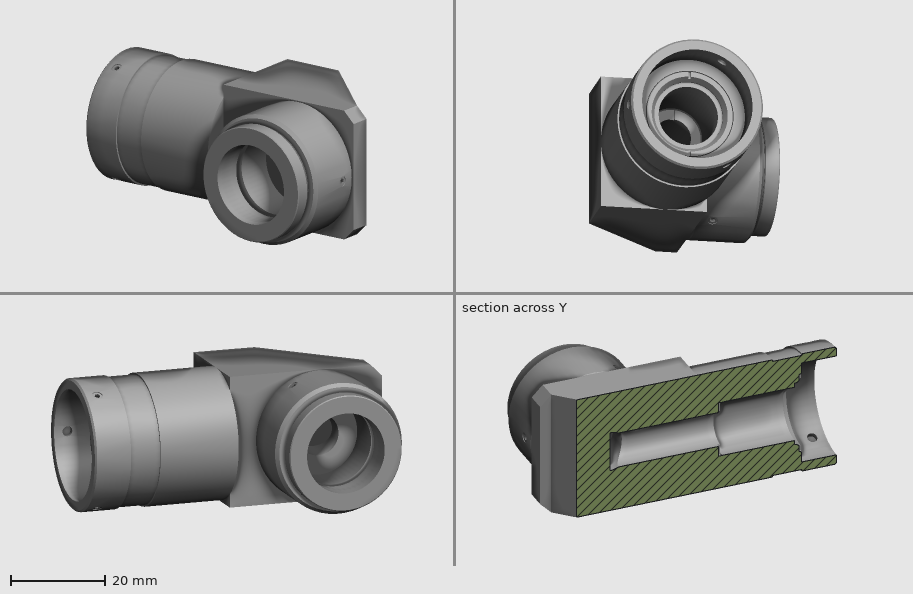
import cadquery as cq

LENGTH = 66.5
DEPTH = 40.35
WIDTH = 28.6
OUTER_R = WIDTH / 2
PORT_X = LENGTH - OUTER_R

BLOCK_X0 = 32.25
BLOCK_Y0 = -8.65
LIP_LENGTH = 2.5
LIP_Y = -4.0
LIP_X = LENGTH - LIP_LENGTH
BACK_TAPER = 0.2
SLANT_TOP_Y = OUTER_R - BACK_TAPER
SLANT_TOP_X = LIP_X - (SLANT_TOP_Y - LIP_Y)
CORNER_CHAMFER = LIP_LENGTH
MIRROR_HOLE_BARREL_D = 8.1
MIRROR_HOLE_PORT_D = 9.05

COLLAR_LENGTH = 8.05
WAIST_END = 14.7
WAIST_DEPTH = 0.365
WAIST_R = OUTER_R - WAIST_DEPTH
MOUTH_CHAMFER = 0.4

MOUTH_R = 11.95
FRONT_GROOVE_R = 9.5
FRONT_RING_R = 9.3
SEAT_CONE_R = 8.25
SEAT_R = 14.8 / 2
SEAT_CONE_DEPTH = 1.2
SEAT_LAND = 0.3
BARREL_BORE_R = 12.8 / 2
BORE_END_CHAMFER = 0.25
REAR_RING_X = 26.6
REAR_RING_LENGTH = 2.65
RING_GROOVE_DEPTH = 0.4
FRONT_SLOT_WIDTH = 0.45
REAR_SLOT_WIDTH = 0.9
SLOT_DEPTH = 0.5

PORT_BACK_CHAMFER = 0.65
PORT_SHOULDER_Y = -22.1
PORT_FRONT_CHAMFER = 0.7
NECK_R = 12.2
FLANGE_R = 12.6
FLANGE_Y = -23.0
FLANGE_CHAMFER = 0.2
FLANGE_END_Y = OUTER_R - DEPTH

PORT_BORE_R = 17.5 / 2
RELIEF_R = 11.3
RELIEF_START = 6.7
RELIEF_LENGTH = 1.9

SCREW_D = 2.2
SCREW_RECESS = 0.2
SOCKET_CORNERS_D = 1.25
SOCKET_DEPTH = 0.8
SCREW_INNER_GAP = 1.1
BARREL_SCREW_X = 3.0
PORT_SCREW_Y = -12.55
SCREW_COUNT = 3


def turned_on_x(points):
    """Revolve a closed outline of (x, radius) points about the barrel axis."""
    return cq.Workplane("XY").polyline(points).close().revolve(360, (0, 0), (1, 0))


def turned_on_y(points):
    """Revolve a closed outline of (radius, y) points about the port axis."""
    outline = cq.Workplane("XY").polyline(points).close().revolve(360, (0, 0), (0, 1))
    return outline.translate((PORT_X, 0, 0))


def elbow_block():
    outline = [
        (BLOCK_X0, BLOCK_Y0),
        (LENGTH, BLOCK_Y0),
        (LENGTH, LIP_Y),
        (LIP_X, LIP_Y),
        (SLANT_TOP_X, SLANT_TOP_Y),
        (BLOCK_X0, OUTER_R),
    ]
    block = cq.Workplane("XY").polyline(outline).close().extrude(OUTER_R, both=True)
    return block.edges("|Y").edges(">X").chamfer(CORNER_CHAMFER)


def barrel():
    return turned_on_x([
        (0, 0),
        (0, OUTER_R - MOUTH_CHAMFER),
        (MOUTH_CHAMFER, OUTER_R),
        (COLLAR_LENGTH, OUTER_R),
        (COLLAR_LENGTH, WAIST_R),
        (WAIST_END, WAIST_R),
        (WAIST_END, OUTER_R),
        (BLOCK_X0, OUTER_R),
        (BLOCK_X0, 0),
    ])


def port():
    return turned_on_y([
        (0, BLOCK_Y0),
        (OUTER_R - PORT_BACK_CHAMFER, BLOCK_Y0),
        (OUTER_R, BLOCK_Y0 - PORT_BACK_CHAMFER),
        (OUTER_R, PORT_SHOULDER_Y + PORT_FRONT_CHAMFER),
        (OUTER_R - PORT_FRONT_CHAMFER, PORT_SHOULDER_Y),
        (NECK_R, PORT_SHOULDER_Y),
        (NECK_R, FLANGE_Y + FLANGE_CHAMFER),
        (FLANGE_R - FLANGE_CHAMFER, FLANGE_Y + FLANGE_CHAMFER),
        (FLANGE_R, FLANGE_Y),
        (FLANGE_R, FLANGE_END_Y + FLANGE_CHAMFER),
        (FLANGE_R - FLANGE_CHAMFER, FLANGE_END_Y),
        (0, FLANGE_END_Y),
    ])


def ring_slot(x, width, radius):
    """Spanner slot across the face of a retaining ring, along Z."""
    slot = cq.Workplane("XY").box(SLOT_DEPTH, width, 2 * radius, centered=(False, True, True))
    return slot.translate((x, 0, 0))


def barrel_cavity():
    """Stepped bore with a V groove around the front ring and spanner slots in both ring faces."""
    cone_end_x = COLLAR_LENGTH + SEAT_CONE_DEPTH
    seat_x = cone_end_x + SEAT_LAND
    rear_end = REAR_RING_X + REAR_RING_LENGTH
    front_groove_x = COLLAR_LENGTH + RING_GROOVE_DEPTH
    hole_r = MIRROR_HOLE_BARREL_D / 2
    bore = turned_on_x([
        (0, 0),
        (0, MOUTH_R),
        (COLLAR_LENGTH, MOUTH_R),
        (COLLAR_LENGTH, FRONT_GROOVE_R),
        (front_groove_x, FRONT_GROOVE_R),
        (COLLAR_LENGTH, FRONT_RING_R),
        (COLLAR_LENGTH, SEAT_CONE_R),
        (cone_end_x, SEAT_R),
        (seat_x, SEAT_R),
        (seat_x, BARREL_BORE_R),
        (REAR_RING_X - BORE_END_CHAMFER, BARREL_BORE_R),
        (REAR_RING_X, BARREL_BORE_R - BORE_END_CHAMFER),
        (REAR_RING_X, hole_r),
        (rear_end, hole_r),
        (rear_end, 0),
    ])
    front_slot = ring_slot(COLLAR_LENGTH, FRONT_SLOT_WIDTH, FRONT_RING_R)
    rear_slot = ring_slot(REAR_RING_X, REAR_SLOT_WIDTH, BARREL_BORE_R)
    return bore.union(front_slot).union(rear_slot)


def port_cavity():
    relief_y = FLANGE_END_Y + RELIEF_START
    relief_end_y = relief_y + RELIEF_LENGTH
    return turned_on_y([
        (0, FLANGE_END_Y),
        (PORT_BORE_R, FLANGE_END_Y),
        (PORT_BORE_R, relief_y),
        (RELIEF_R, relief_y),
        (RELIEF_R, relief_end_y),
        (PORT_BORE_R, relief_end_y),
        (PORT_BORE_R, BLOCK_Y0),
        (0, BLOCK_Y0),
    ])


def mirror_passage():
    """Holes along both axes that end on a 45 degree mirror face through their crossing."""
    from_barrel = (
        cq.Workplane("YZ", origin=(REAR_RING_X, 0, 0))
        .circle(MIRROR_HOLE_BARREL_D / 2)
        .extrude(LENGTH)
    )
    from_port = (
        cq.Workplane("XZ", origin=(PORT_X, BLOCK_Y0, 0))
        .circle(MIRROR_HOLE_PORT_D / 2)
        .extrude(-LENGTH)
    )
    behind_mirror = (
        cq.Workplane("XY", origin=(PORT_X, 0, 0))
        .polyline([(-LENGTH, LENGTH), (LENGTH, -LENGTH), (LENGTH, LENGTH)])
        .close()
        .extrude(OUTER_R, both=True)
    )
    return from_barrel.union(from_port).cut(behind_mirror)


def screw_head():
    """Cut for a set screw pointing along +Z whose head sits just below the outer surface."""
    recess_z = OUTER_R - SCREW_RECESS
    recess = cq.Workplane("XY", origin=(0, 0, recess_z)).circle(SCREW_D / 2).extrude(2 * SCREW_RECESS)
    socket = (
        cq.Workplane("XY", origin=(0, 0, recess_z))
        .polygon(6, SOCKET_CORNERS_D)
        .extrude(-SOCKET_DEPTH)
    )
    return recess.union(socket)


def screw_inner_end():
    """Open end of the screw hole in the wall of the barrel mouth."""
    end_z = MOUTH_R + SCREW_INNER_GAP
    return cq.Workplane("XY", origin=(0, 0, end_z)).circle(SCREW_D / 2).extrude(-2 * SCREW_INNER_GAP)


def barrel_screws():
    """Screws around the barrel mouth, the first one on the +Y side."""
    screw = screw_head().union(screw_inner_end())
    cuts = cq.Workplane("XY")
    for index in range(SCREW_COUNT):
        angle = -90 + index * 360 / SCREW_COUNT
        cuts = cuts.add(screw.rotate((0, 0, 0), (1, 0, 0), angle).translate((BARREL_SCREW_X, 0, 0)))
    return cuts.combine()


def port_screws():
    """Screws around the port, the first one on the +X side."""
    cuts = cq.Workplane("XY")
    for index in range(SCREW_COUNT):
        angle = 90 + index * 360 / SCREW_COUNT
        turned = screw_head().rotate((0, 0, 0), (0, 1, 0), angle)
        cuts = cuts.add(turned.translate((PORT_X, PORT_SCREW_Y, 0)))
    return cuts.combine()


result = elbow_block().union(barrel()).union(port())
result = result.cut(barrel_cavity()).cut(port_cavity()).cut(mirror_passage())
result = result.cut(barrel_screws()).cut(port_screws())